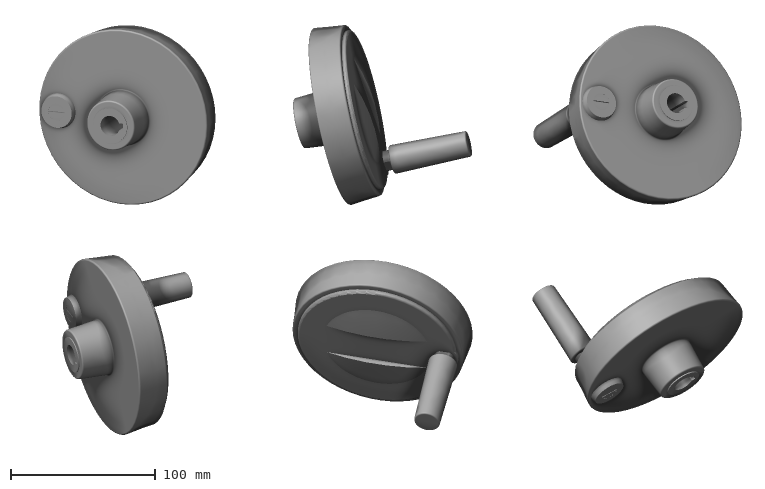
import cadquery as cq


rim_radius = 62.5
rim_back_radius = 60.1
rim_depth = 22.3
rim_edge_round = 1.1
cover_radius = 56.1
cover_back = 25.3
cover_edge_round = 1.6

dome_edge_radius = 38.0
dome_rise = 4.2
channel_half_width = 13.8

hub_base_radius = 19.5
hub_end_radius = 17.6
hub_length = 23.1
hub_base_fillet = 1.0
hub_end_round = 1.1
bushing_radius = 12.5
bushing_length = 23.8
bore_radius = 7.1
keyway_width = 5.0
keyway_reach = 9.4

handle_x = -47.6
handle_start = 30.3
overall_depth = 109.0
handle_end = overall_depth - bushing_length
handle_start_radius = 10.1
handle_end_radius = 9.0
handle_edge_round = 1.0
neck_diameter = 14.1
neck_flats = 12.0
pad_radius = 9.7
cap_base_radius = 12.5
cap_end_radius = 11.2
cap_height = 4.0
screw_radius = 6.0
screw_recess = 0.1
screw_slot_width = 0.6
screw_slot_depth = 1.2


def cylinder(radius, start, end, x=0.0):
    """Cylinder along Y between two Y positions."""
    return cq.Workplane("XZ", origin=(x, start, 0)).circle(radius).extrude(start - end)


def cone(start_radius, end_radius, start, end, x=0.0):
    """Truncated cone along Y between two Y positions."""
    outline = [(0, start), (start_radius, start), (end_radius, end), (0, end)]
    solid = cq.Workplane("XY").polyline(outline).close().revolve(360, (0, 0, 0), (0, 1, 0))
    return solid.translate((x, 0, 0))


def make_wheel():
    rim = cone(rim_radius, rim_back_radius, 0, rim_depth).edges().fillet(rim_edge_round)
    cover = cylinder(cover_radius, 0, cover_back).edges(">Y").fillet(cover_edge_round)
    return rim.union(cover)


def make_dome():
    sphere_radius = (dome_edge_radius**2 + dome_rise**2) / (2 * dome_rise)
    sphere_center = cover_back + dome_rise - sphere_radius
    sphere = cq.Workplane("XY").sphere(sphere_radius).translate((0, sphere_center, 0))
    dome = sphere.intersect(cylinder(dome_edge_radius, cover_back, cover_back + dome_rise))
    channel = cq.Workplane("XY").box(
        2 * dome_edge_radius, 2 * dome_rise, 2 * channel_half_width
    )
    return dome.cut(channel.translate((0, cover_back, 0)))


def make_hub():
    hub = cone(hub_base_radius, hub_end_radius, 0, -hub_length)
    hub = hub.edges("<Y").fillet(hub_end_round)
    return hub.union(cylinder(bushing_radius, 0, -bushing_length))


def make_bore():
    bore = cylinder(bore_radius, -bushing_length, rim_depth)
    keyway = cq.Workplane("XY").box(
        keyway_reach, bushing_length + rim_depth, keyway_width, centered=(False, False, True)
    )
    return bore.union(keyway.translate((0, -bushing_length, 0)))


def make_handle():
    grip = cone(handle_start_radius, handle_end_radius, handle_start, handle_end, handle_x)
    grip = grip.edges().fillet(handle_edge_round)
    neck = cylinder(neck_diameter / 2, cover_back, handle_start, handle_x)
    flats = cq.Workplane("XY").box(neck_diameter, 2 * handle_start, neck_flats)
    neck = neck.intersect(flats.translate((handle_x, handle_start, 0)))
    pad = cylinder(pad_radius, 0, cover_back, handle_x)
    return grip.union(neck).union(pad)


def make_cap():
    cap = cone(cap_base_radius, cap_end_radius, 0, -cap_height, handle_x)
    screw_face = screw_recess - cap_height
    cap = cap.cut(cylinder(screw_radius, -cap_height, screw_face, handle_x))
    slot = cq.Workplane("XY").box(2 * screw_radius, 2 * screw_slot_depth, screw_slot_width)
    return cap.cut(slot.translate((handle_x, screw_face, 0)))


def make_wheel_with_hub():
    wheel = make_wheel().union(make_hub())
    reach = hub_base_radius + hub_base_fillet
    thickness = hub_base_fillet / 2
    root_zone = cq.selectors.BoxSelector((-reach, -thickness, -reach), (reach, thickness, reach))
    return wheel.edges(root_zone).fillet(hub_base_fillet)


result = make_wheel_with_hub().union(make_dome()).union(make_handle()).union(make_cap())
result = result.cut(make_bore())